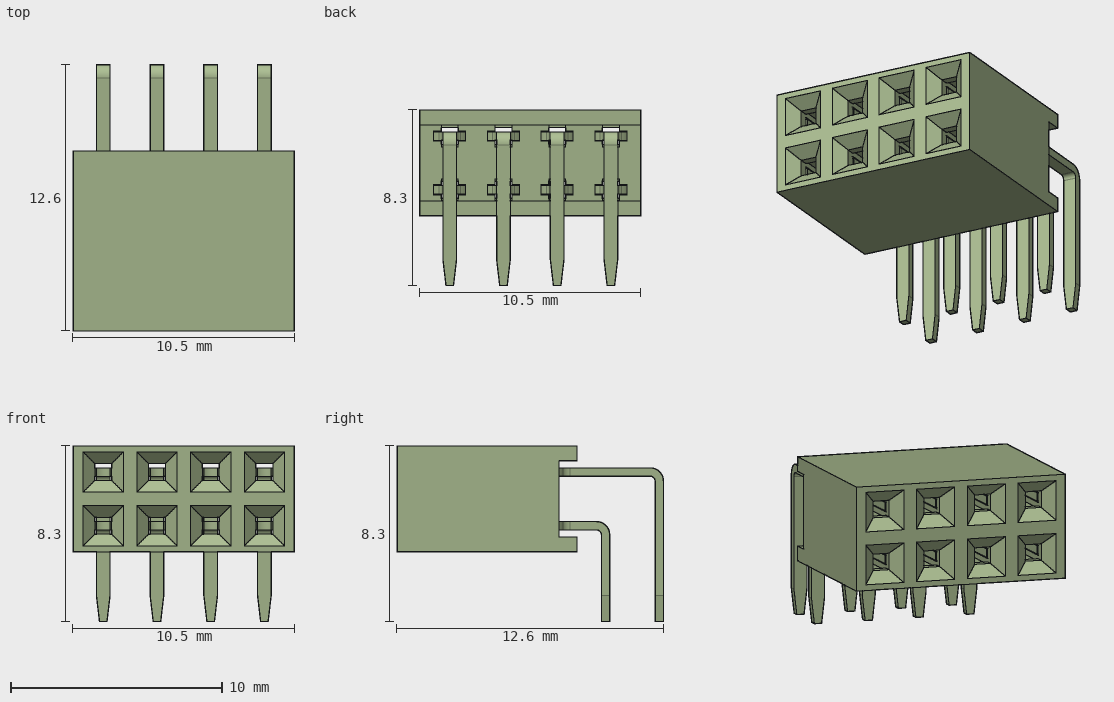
import cadquery as cq
import math

overall_length = 12.6
columns = 4
pitch = 2.54

housing_width = 10.46
housing_depth = 8.52
housing_height = 5.0
lip_depth = 0.86
lip_height = 0.7

mouth_size = 1.9
hole_size = 0.8
mouth_depth = 0.54
cavity_front_y = 1.0
cavity_height = 1.03
slot_clearance = 0.04

pin_width = 0.65
pin_thickness = 0.4
bend_radius = 0.63
tail_below_housing = 3.3
tip_width = 0.37
tip_length = 1.23
fork_width = 1.51
fork_front_y = 1.13
root_inner_radius = 0.49
root_outer_radius = 1.01
root_fillet_radius = 0.38
root_setback = 0.68
throat_width = 0.63

column_places = [(i - (columns - 1) / 2) * pitch for i in range(columns)]
row_places = [pitch / 2, -pitch / 2]
rear_wall_y = housing_depth - lip_depth
root_y = rear_wall_y - root_setback
tail_end_z = -housing_height / 2 - tail_below_housing


def box_along_y(width, height, y_start, y_end):
    """Box centred on the Y axis, from y_start to y_end."""
    depth = y_end - y_start
    return cq.Workplane("XY").box(width, depth, height).translate((0, y_start + depth / 2, 0))


def make_mouth():
    """Pyramid-shaped lead-in that narrows from the mating face to the hole."""
    return (
        cq.Workplane("XZ")
        .rect(mouth_size, mouth_size)
        .workplane(offset=-mouth_depth)
        .rect(hole_size, hole_size)
        .loft()
    )


def make_socket():
    """Void for one contact: lead-in, square hole, taller cavity and wide fork slot."""
    hole = box_along_y(hole_size, hole_size, 0, rear_wall_y)
    cavity = box_along_y(hole_size, cavity_height, cavity_front_y, rear_wall_y)
    slot_height = pin_thickness + 2 * slot_clearance
    slot = box_along_y(fork_width, slot_height, cavity_front_y, rear_wall_y)
    return make_mouth().union(hole).union(cavity).union(slot)


def make_housing():
    """Block with a recess across its rear face and a grid of sockets."""
    body = box_along_y(housing_width, housing_height, 0, housing_depth)
    recess_height = housing_height - 2 * lip_height
    body = body.cut(box_along_y(housing_width, recess_height, rear_wall_y, housing_depth))
    socket = make_socket()
    for z in row_places:
        for x in column_places:
            body = body.cut(socket.translate((x, 0, z)))
    return body


def root_point(radius, x):
    """Point at x on a circle about the fork root centre, on its rear side."""
    return (x, root_y + math.sqrt(radius**2 - x**2))


def make_plan(rear_y):
    """Contact seen from above: strip, flared root and two tines that spread forward."""
    strip_half = pin_width / 2
    fork_half = fork_width / 2
    throat_half = throat_width / 2
    mouth_half = hole_size / 2

    centre_distance = root_outer_radius + root_fillet_radius
    fillet_x, fillet_y = root_point(centre_distance, strip_half + root_fillet_radius)
    touch_x = fillet_x * root_outer_radius / centre_distance
    touch_point = root_point(root_outer_radius, touch_x)

    half = (
        cq.Workplane("XY")
        .moveTo(0, rear_y)
        .lineTo(strip_half, rear_y)
        .lineTo(strip_half, fillet_y)
        .radiusArc(touch_point, -root_fillet_radius)
        .radiusArc(root_point(root_outer_radius, fork_half), root_outer_radius)
        .lineTo(fork_half, fork_front_y)
        .lineTo(mouth_half, fork_front_y)
        .lineTo(*root_point(root_inner_radius, throat_half))
        .radiusArc((0, root_y + root_inner_radius), -root_inner_radius)
        .close()
        .extrude(housing_height + tail_below_housing, both=True)
    )
    return half.union(half.mirror("YZ"))


def make_side_profile(rear_y, row_z):
    """Contact seen from the side: flat strip bent down into the tail."""
    top_z = row_z + pin_thickness / 2
    bottom_z = row_z - pin_thickness / 2
    inner_bend = bend_radius - pin_thickness
    tail_front_y = rear_y - pin_thickness
    return (
        cq.Workplane("YZ")
        .moveTo(fork_front_y, top_z)
        .lineTo(rear_y - bend_radius, top_z)
        .radiusArc((rear_y, top_z - bend_radius), bend_radius)
        .lineTo(rear_y, tail_end_z)
        .lineTo(tail_front_y, tail_end_z)
        .lineTo(tail_front_y, bottom_z - inner_bend)
        .radiusArc((tail_front_y - inner_bend, bottom_z), -inner_bend)
        .lineTo(fork_front_y, bottom_z)
        .close()
        .extrude(fork_width / 2, both=True)
    )


def make_tip_wedge(rear_y, side):
    """Wedge that tapers one side of the tail tip; side is -1 or 1."""
    edge_x = side * pin_width / 2
    return (
        cq.Workplane("XZ", origin=(0, rear_y, 0))
        .moveTo(edge_x, tail_end_z + tip_length)
        .lineTo(side * tip_width / 2, tail_end_z)
        .lineTo(edge_x, tail_end_z)
        .close()
        .extrude(pin_thickness)
    )


def make_contact(rear_y, row_z):
    """Bent fork contact on X = 0 whose tail has its rear face at rear_y."""
    contact = make_plan(rear_y).intersect(make_side_profile(rear_y, row_z))
    for side in (-1, 1):
        contact = contact.cut(make_tip_wedge(rear_y, side))
    return contact


housing = make_housing()
contacts = []
for row, row_z in enumerate(row_places):
    contact = make_contact(overall_length - row * pitch, row_z)
    for x in column_places:
        contacts.append(contact.translate((x, 0, 0)).solids().val())

result = cq.Compound.makeCompound([housing.solids().val(), *contacts])